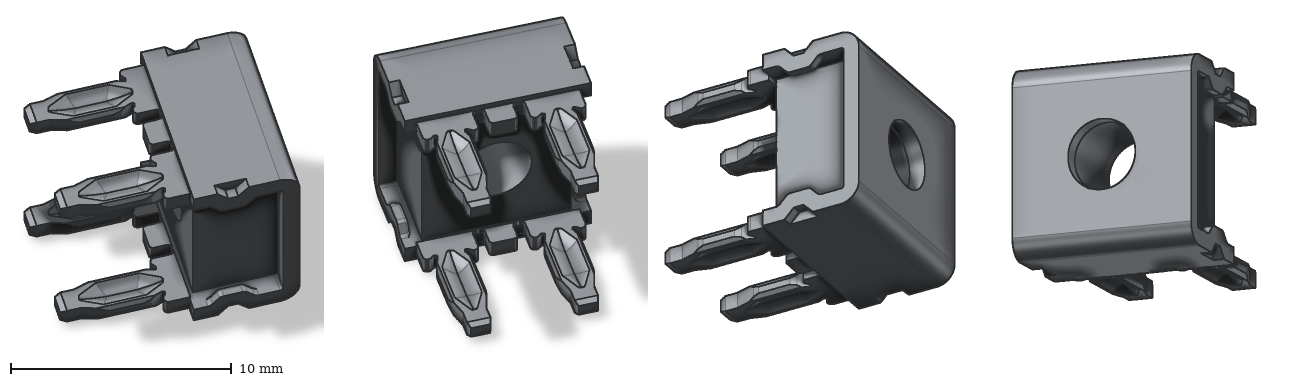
import cadquery as cq
import math

CLIP_WIDTH = 8.8
CLIP_HEIGHT = 8.9
CLIP_DEPTH = 5.0
SHEET = 0.8
INNER_BEND = 0.13
OUTER_BEND = 0.95

BLOCK_SIDE = 7.05
BLOCK_DEPTH = 4.0
BORE_DIAMETER = 3.3

DENT_WIDTH = 0.51
DENT_DEPTH = 0.5
DENT_FLOOR = 0.48
DENT_Y = 1.86
DENT_ANGLE = 45
BUMP_BEND = 0.3
BUMP_EDGE_ROUND = 0.14
BUMP_PAD = 0.22

STRIP_INSET = 0.25
PIN_SPACING = 5.08
ROOT_FLARE = 0.2
TAB_HALF = 1.31
TAB_LENGTH = 1.2
STOP_HALF = 0.66
STOP_LENGTH = 1.0
STOP_ROUND = 0.2

NOSE_ROUND = 0.22
NOSE_END = (0.96, -1.15)
NOTCH_START = (0.82, -1.05)
NOTCH_MIDDLE = (0.68, -1.06)
NOTCH_END = (0.65, -1.18)

SHOULDER_HALF = 0.85
SHOULDER_START = 1.7
SHOULDER_END = 3.97
BLADE_HALF = 0.9
BLADE_START = 2.04
BLADE_END = 3.67
TAPER_END = 4.96
TIP_HALF = 0.56
TIP_END_HALF = 0.46
TIP_START = 5.59
PIN_LENGTH = 5.9
TIP_BEVEL = 0.12
EDGE_BEVEL_X = 0.13
EDGE_BEVEL_Z = 0.23

HOLLOW_HALF = 0.64
HOLLOW_DEPTH = 0.33
HOLLOW_TIPS = (0.66, 5.15)
HOLLOW_SHOULDERS = (1.86, 3.9)
HOLLOW_TIP_RUN = 0.71
HOLLOW_SAG = 0.04
HOLLOW_TIP_ROUND = 0.22

LEG_OUTER_Z = CLIP_HEIGHT / 2
LEG_INNER_Z = LEG_OUTER_Z - SHEET
WALL_INNER_Y = CLIP_DEPTH - SHEET
STRIP_Z = LEG_OUTER_Z - STRIP_INSET - SHEET / 2
SIDE_X = CLIP_WIDTH / 2


def make_bore():
    """Cylinder along Y through the block and the back wall."""
    return cq.Workplane("XZ").circle(BORE_DIAMETER / 2).extrude(-CLIP_DEPTH)


def make_channel():
    """Bent U of the clip: back wall and two straight legs."""
    outer = (cq.Workplane("XY").box(CLIP_WIDTH, CLIP_DEPTH, CLIP_HEIGHT)
             .translate((0, CLIP_DEPTH / 2, 0)).edges("|X and >Y").fillet(OUTER_BEND))
    inner = (cq.Workplane("XY").box(CLIP_WIDTH, WALL_INNER_Y, 2 * LEG_INNER_Z)
             .translate((0, WALL_INNER_Y / 2, 0)).edges("|X and >Y").fillet(INNER_BEND))
    return outer.cut(inner)


def flank_run(depth):
    """Length along Y of a dent flank that drops by depth."""
    return depth / math.tan(math.radians(DENT_ANGLE))


def extrude_edge_profile(points):
    """Profile in YZ extruded over the dent width at the +X side edge."""
    return (cq.Workplane("YZ").workplane(offset=SIDE_X - DENT_WIDTH)
            .polyline(points).close().extrude(DENT_WIDTH))


def make_dent():
    """Notch in the outer face of the upper leg, at its +X side edge."""
    floor_half = DENT_FLOOR / 2
    top_half = floor_half + flank_run(DENT_DEPTH)
    return extrude_edge_profile([
        (DENT_Y - top_half, LEG_OUTER_Z),
        (DENT_Y - floor_half, LEG_OUTER_Z - DENT_DEPTH),
        (DENT_Y + floor_half, LEG_OUTER_Z - DENT_DEPTH),
        (DENT_Y + top_half, LEG_OUTER_Z),
    ])


def make_bump():
    """Metal pushed inwards under a dent at constant sheet thickness, on a pad sunk into the leg."""
    floor_half = DENT_FLOOR / 2 + SHEET * math.tan(math.radians(DENT_ANGLE / 2))
    root_half = floor_half + flank_run(DENT_DEPTH)
    pad_half = root_half + BUMP_BEND
    pad_top = LEG_INNER_Z + BUMP_PAD
    bump = extrude_edge_profile([
        (DENT_Y - pad_half, pad_top),
        (DENT_Y - pad_half, LEG_INNER_Z),
        (DENT_Y - root_half, LEG_INNER_Z),
        (DENT_Y - floor_half, LEG_INNER_Z - DENT_DEPTH),
        (DENT_Y + floor_half, LEG_INNER_Z - DENT_DEPTH),
        (DENT_Y + root_half, LEG_INNER_Z),
        (DENT_Y + pad_half, LEG_INNER_Z),
        (DENT_Y + pad_half, pad_top),
    ])
    bump = bump.edges("|X").edges("not (<Y or >Y)").fillet(BUMP_BEND)
    return bump.faces("<X").edges("<Z").fillet(BUMP_EDGE_ROUND)


def four_corners(body):
    """The body and its mirror images about X = 0 and Z = 0."""
    pair = [body, body.mirror("YZ")]
    return pair + [copy.mirror("XY") for copy in pair]


def make_root_flare():
    """Concave round between the leg end and the +X side of a tab, with that side at X = 0."""
    square = cq.Workplane("XY").rect(ROOT_FLARE, -ROOT_FLARE, centered=False).extrude(SHEET)
    round_cut = cq.Workplane("XY").center(ROOT_FLARE, -ROOT_FLARE).circle(ROOT_FLARE).extrude(SHEET)
    return square.cut(round_cut).translate((0, 0, -SHEET / 2))


def make_stop_tab():
    """Short central tab with flared roots."""
    tab = (cq.Workplane("XY").box(2 * STOP_HALF, STOP_LENGTH, SHEET)
           .translate((0, -STOP_LENGTH / 2, 0)).edges("|Z and <Y").fillet(STOP_ROUND))
    flare = make_root_flare().translate((STOP_HALF, 0, 0))
    return tab.union(flare).union(flare.mirror("YZ"))


def make_pin_half():
    """Half (+X side) of one pin without its bevelled tip."""
    return (cq.Workplane("XY").workplane(offset=-SHEET / 2)
            .lineTo(TAB_HALF, 0)
            .lineTo(TAB_HALF, NOSE_ROUND - TAB_LENGTH)
            .radiusArc(NOSE_END, NOSE_ROUND)
            .lineTo(*NOTCH_START)
            .threePointArc(NOTCH_MIDDLE, NOTCH_END)
            .lineTo(SHOULDER_HALF, -SHOULDER_START)
            .lineTo(BLADE_HALF, -BLADE_START)
            .lineTo(BLADE_HALF, -BLADE_END)
            .lineTo(SHOULDER_HALF, -SHOULDER_END)
            .lineTo(TIP_HALF, -TAPER_END)
            .lineTo(TIP_HALF, -TIP_START)
            .lineTo(0, -TIP_START)
            .close().extrude(SHEET))


def make_tip():
    """Bevelled end of a pin."""
    return (cq.Workplane("XZ").workplane(offset=TIP_START).rect(2 * TIP_HALF, SHEET)
            .workplane(offset=PIN_LENGTH - TIP_START)
            .rect(2 * TIP_END_HALF, SHEET - 2 * TIP_BEVEL).loft(combine=True))


def make_edge_bevel():
    """Wedge that bevels the upper +X long edge of the blade."""
    return (cq.Workplane("XZ").workplane(offset=TAB_LENGTH)
            .polyline([(BLADE_HALF - EDGE_BEVEL_X, SHEET / 2), (BLADE_HALF, SHEET / 2),
                       (BLADE_HALF, SHEET / 2 - EDGE_BEVEL_Z)])
            .close().extrude(TIP_START - TAB_LENGTH))


def make_hollow_wall(start, end, run):
    """Space inside one outline edge of a hollow: an arc that reaches full depth after run."""
    along = cq.Vector(end[0] - start[0], end[1] - start[1], 0)
    inward = cq.Vector(-along.y, along.x, 0)
    origin = cq.Vector(start[0], start[1], SHEET / 2) - along.normalized() * PIN_LENGTH
    return (cq.Workplane(cq.Plane(origin, inward, along))
            .sagittaArc((run, -HOLLOW_DEPTH), -HOLLOW_SAG)
            .lineTo(PIN_LENGTH, -SHEET)
            .lineTo(PIN_LENGTH, 0)
            .close().extrude(2 * PIN_LENGTH + along.Length))


def make_hollow():
    """Pointed hollow with curved walls, sunk into the upper face of the blade."""
    near, far = HOLLOW_TIPS
    shoulder_near, shoulder_far = HOLLOW_SHOULDERS
    outline = [
        (0, -near),
        (-HOLLOW_HALF, -shoulder_near),
        (-HOLLOW_HALF, -shoulder_far),
        (0, -far),
        (HOLLOW_HALF, -shoulder_far),
        (HOLLOW_HALF, -shoulder_near),
    ]
    hollow = (cq.Workplane("XY").workplane(offset=SHEET / 2 - HOLLOW_DEPTH).polyline(outline).close()
              .extrude(HOLLOW_DEPTH).edges("|Z and (<Y or >Y)").fillet(HOLLOW_TIP_ROUND))
    for start, end in zip(outline, outline[1:] + outline[:1]):
        is_side = start[0] == end[0]
        run = HOLLOW_HALF if is_side else HOLLOW_TIP_RUN
        hollow = hollow.intersect(make_hollow_wall(start, end, run))
    return hollow


def make_pin():
    """One press-fit pin, centred on X = 0 and Z = 0, with its base at the leg end."""
    half = make_pin_half()
    pin = half.union(half.mirror("YZ")).union(make_tip())
    for bevel in four_corners(make_edge_bevel()):
        pin = pin.cut(bevel)
    hollow = make_hollow()
    return pin.cut(hollow).cut(hollow.mirror("XY"))


def make_pin_row():
    """Two pins and the stop tab between them, centred on Z = 0."""
    flare = make_root_flare().translate((TAB_HALF, 0, 0))
    left_pin = make_pin().union(flare).translate((-PIN_SPACING / 2, 0, 0))
    return [left_pin, left_pin.mirror("YZ"), make_stop_tab()]


def make_clip():
    """Bent clip with bore, edge dents and pins, all one piece."""
    clip = make_channel().cut(make_bore())
    for dent in four_corners(make_dent()):
        clip = clip.cut(dent)
    for bump in four_corners(make_bump()):
        clip = clip.union(bump)
    for part in make_pin_row():
        upper = part.translate((0, 0, STRIP_Z))
        clip = clip.union(upper).union(upper.mirror("XY"))
    return clip


def make_block():
    """Square block seated against the back wall, with the bore through it."""
    block = cq.Workplane("XY").box(BLOCK_SIDE, BLOCK_DEPTH, BLOCK_SIDE)
    return block.translate((0, WALL_INNER_Y - BLOCK_DEPTH / 2, 0)).cut(make_bore())


clip = make_clip()
block = make_block()
result = cq.Compound.makeCompound([clip.val(), block.val()])